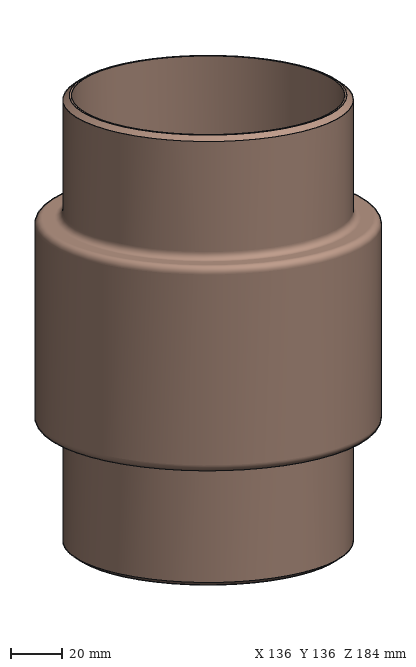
import cadquery as cq

total_length = 184.0
pipe_diameter = 113.9
bore_diameter = 107.0
sleeve_diameter = 136.0
pipe_end_length = 50.0

sleeve_edge_radius = 3.0
neck_fillet_radius = 3.0
end_chamfer_radial = 2.5
end_chamfer_axial = 1.8

sleeve_length = total_length - 2 * pipe_end_length


def make_cylinder(diameter, length):
    """Solid cylinder along Z, centred on the origin."""
    return cq.Workplane("XY").cylinder(length, diameter / 2)


def make_pipe():
    """Solid pipe body with the outer rim of both ends bevelled."""
    pipe = make_cylinder(pipe_diameter, total_length)
    for end_face in ("<Z", ">Z"):
        pipe = pipe.faces(end_face).edges().chamfer(end_chamfer_axial, end_chamfer_radial)
    return pipe


def make_sleeve():
    """Solid sleeve body with both outer rims rounded."""
    sleeve = make_cylinder(sleeve_diameter, sleeve_length)
    return sleeve.faces("<Z or >Z").edges().fillet(sleeve_edge_radius)


def fillet_necks(body):
    """Blend the pipe wall into the sleeve shoulders along their shared circles."""
    pipe_radius = pipe_diameter / 2
    half_sleeve = sleeve_length / 2
    margin = neck_fillet_radius / 2
    neck_zone = cq.selectors.BoxSelector(
        (-pipe_radius - margin, -pipe_radius - margin, -half_sleeve - margin),
        (pipe_radius + margin, pipe_radius + margin, half_sleeve + margin),
        boundingbox=True,
    )
    return body.edges(neck_zone).edges("%CIRCLE").fillet(neck_fillet_radius)


body = fillet_necks(make_pipe().union(make_sleeve()))
bore = make_cylinder(bore_diameter, total_length)
result = body.cut(bore)